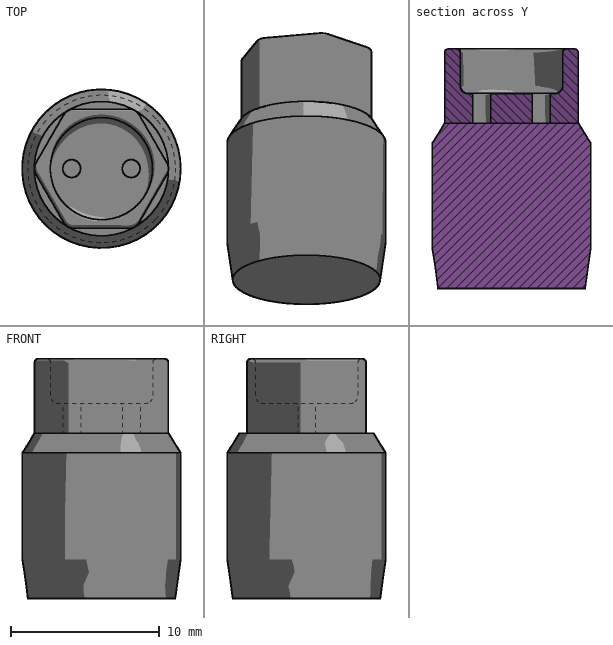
import cadquery as cq
import math

total_height = 16.11
body_diameter = 10.66

bottom_diameter = 9.92
taper_height = 2.65
shoulder_height = 1.34
shoulder_diameter = 9.02

head_height = 5
across_flats = 8.0
corner_radius = 0.8
edge_radius = 0.25
body_height = total_height - head_height

pocket_diameter = 6.86
pocket_depth = 3.0
pocket_floor_radius = 0.5

hole_diameter = 1.2
hole_spacing = 4.0
hole_edge_radius = 0.11
pocket_floor = total_height - pocket_depth
hole_depth = head_height - pocket_depth


def make_body():
    """Round body with a tapered lower end and a conical shoulder."""
    return (
        cq.Workplane("XZ")
        .moveTo(0, 0)
        .lineTo(bottom_diameter / 2, 0)
        .lineTo(body_diameter / 2, taper_height)
        .lineTo(body_diameter / 2, body_height - shoulder_height)
        .lineTo(shoulder_diameter / 2, body_height)
        .lineTo(0, body_height)
        .close()
        .revolve(360, (0, 0), (0, 1))
    )


def make_pocket_cutter():
    """Pocket volume with a rounded floor and a mouth that flares over the rounded rim."""
    radius = pocket_diameter / 2
    diagonal = math.sqrt(0.5)
    floor_inset = pocket_floor_radius * (1 - diagonal)
    rim_inset = edge_radius * (1 - diagonal)
    return (
        cq.Workplane("XZ")
        .moveTo(0, pocket_floor)
        .lineTo(radius - pocket_floor_radius, pocket_floor)
        .threePointArc(
            (radius - floor_inset, pocket_floor + floor_inset),
            (radius, pocket_floor + pocket_floor_radius),
        )
        .lineTo(radius, total_height - edge_radius)
        .threePointArc(
            (radius + rim_inset, total_height - rim_inset),
            (radius + edge_radius, total_height),
        )
        .lineTo(0, total_height)
        .close()
        .revolve(360, (0, 0), (0, 1))
    )


def make_head():
    """Hexagonal head with rounded corners, a round pocket and two wrench holes."""
    across_corners = across_flats / math.cos(math.pi / 6)
    head = (
        cq.Workplane("XY", origin=(0, 0, body_height))
        .polygon(6, across_corners)
        .extrude(head_height)
        .edges("|Z")
        .fillet(corner_radius)
        .faces(">Z")
        .edges()
        .fillet(edge_radius)
        .cut(make_pocket_cutter())
    )
    holes = (
        cq.Workplane("XY", origin=(0, 0, pocket_floor))
        .pushPoints([(-hole_spacing / 2, 0), (hole_spacing / 2, 0)])
        .circle(hole_diameter / 2)
        .extrude(-hole_depth)
    )
    return (
        head.cut(holes)
        .edges(cq.selectors.BoxSelector(
            (-hole_spacing, -hole_diameter, pocket_floor - hole_edge_radius),
            (hole_spacing, hole_diameter, pocket_floor + hole_edge_radius),
        ))
        .edges(cq.selectors.RadiusNthSelector(0))
        .fillet(hole_edge_radius)
    )


body = make_body()
head = make_head()

result = cq.Compound.makeCompound([body.val(), head.val()])